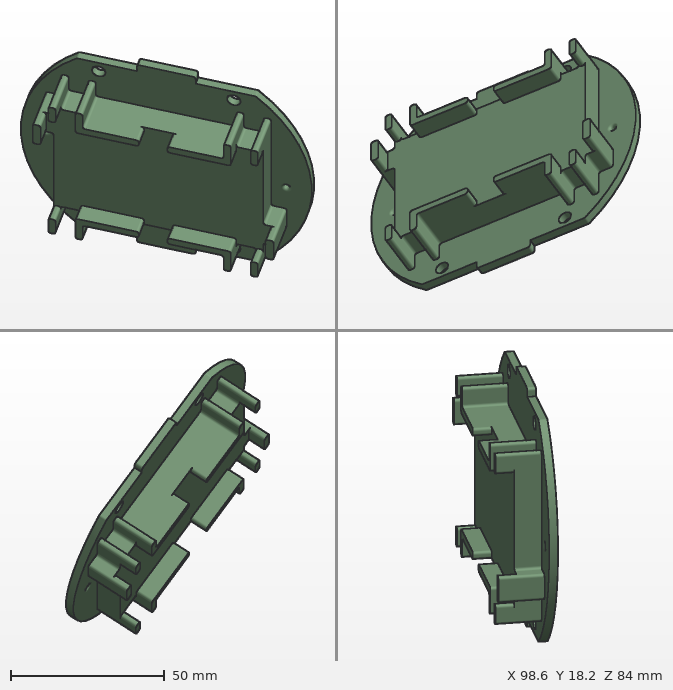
import cadquery as cq


disc_radius = 49.3
plate_thickness = 3.0
flat_height = 39.0
tab_span = 84.0
tab_half_width = 10.0
tab_height = tab_span / 2
corner_radius = 1.0

mount_hole_diameter = 4.5
mount_hole_x = 22.9
mount_hole_z = 34.9
screw_hole_diameter = 2.0
screw_mouth_radius = 1.0
screw_hole_x = 40.7
screw_hole_z = 1.2

block_half_width = 35.5
block_half_height = 23.0
block_depth = 9.0
total_depth = 18.2
wall_depth = total_depth - plate_thickness
clip_depth = wall_depth - block_depth

arm_thickness = 2.5
arm_end_z = 29.8
hook_outer_x = 26.3
hook_tip_x = 4.8
hook_thickness = 2.7

lug_outer_x = 40.85
lug_top_z = 20.0
lug_bottom_z = 11.1
lug_post_thickness = 2.8

hook_inner_x = hook_outer_x - arm_thickness
arm_inner_x = block_half_width - arm_thickness
hook_bottom_z = block_half_height - hook_thickness
lug_post_inner_x = lug_outer_x - lug_post_thickness

plate_front_y = -plate_thickness
block_front_y = plate_front_y - block_depth


def face_plane(y):
    """Sketch plane at depth y, with local axes X and Z, extruding towards -Y."""
    return cq.Workplane("XZ", origin=(0, y, 0))


def slab(y, depth, x_min, x_max, z_min, z_max):
    """Rectangular solid whose back lies at y."""
    center = ((x_min + x_max) / 2, (z_min + z_max) / 2)
    return face_plane(y).center(*center).rect(x_max - x_min, z_max - z_min).extrude(depth)


def round_corners(solid):
    return solid.edges("|Y").fillet(corner_radius)


def four_corners(solid):
    """The solid of the +X +Z corner, copied to all four corners."""
    right_pair = solid.union(solid.mirror("XY"))
    return right_pair.union(right_pair.mirror("YZ"))


def half_turn_pair(solid):
    """The solid together with its copy turned half a turn about the Y axis."""
    return solid.union(solid.rotate((0, 0, 0), (0, 1, 0), 180))


def make_plate():
    disc = face_plane(0).circle(disc_radius).extrude(plate_thickness)
    band = slab(0, plate_thickness, -disc_radius, disc_radius, -flat_height, flat_height)
    body = round_corners(disc.intersect(band))
    tabs = slab(0, plate_thickness, -tab_half_width, tab_half_width, -tab_height, tab_height)
    return body.union(round_corners(tabs))


def drill_screw_holes(plate):
    """Two small through holes with a rounded mouth on the front face."""
    screw_points = [(-screw_hole_x, screw_hole_z), (screw_hole_x, -screw_hole_z)]
    screw_holes = face_plane(0).pushPoints(screw_points).circle(screw_hole_diameter / 2)
    drilled = plate.cut(screw_holes.extrude(plate_thickness))
    mouths = drilled.faces("<Y").edges("%CIRCLE").filter(lambda edge: edge.IsClosed())
    return mouths.fillet(screw_mouth_radius)


def drill_mount_holes(plate):
    mount_points = [(sx * mount_hole_x, sz * mount_hole_z) for sx in (-1, 1) for sz in (-1, 1)]
    mount_holes = face_plane(0).pushPoints(mount_points).circle(mount_hole_diameter / 2)
    return plate.cut(mount_holes.extrude(plate_thickness))


def make_block():
    """Block with the lugs and the feet of the arms merged into one rounded outline."""
    y = plate_front_y
    block = slab(y, block_depth, -block_half_width, block_half_width, -block_half_height, block_half_height)
    outer_foot = slab(y, block_depth, arm_inner_x, block_half_width, 0, arm_end_z)
    hook_foot = slab(y, block_depth, hook_inner_x, hook_outer_x, 0, arm_end_z)
    lug = slab(y, block_depth, -lug_outer_x, 0, lug_bottom_z, lug_top_z)
    outline = block.union(four_corners(outer_foot.union(hook_foot))).union(half_turn_pair(lug))
    return round_corners(outline.clean())


def make_clips():
    """Outer arms, hooks and lug posts standing proud of the block."""
    y = block_front_y
    arm = slab(y, clip_depth, arm_inner_x, block_half_width, block_half_height, arm_end_z)
    hook_upright = slab(y, clip_depth, hook_inner_x, hook_outer_x, hook_bottom_z, arm_end_z)
    hook_finger = slab(y, clip_depth, hook_tip_x, hook_outer_x, hook_bottom_z, block_half_height)
    hook = hook_upright.union(hook_finger).clean()
    post = slab(y, clip_depth, -lug_outer_x, -lug_post_inner_x, lug_bottom_z, lug_top_z)
    corner_clips = round_corners(arm).union(round_corners(hook))
    return four_corners(corner_clips).union(half_turn_pair(round_corners(post)))


plate = drill_mount_holes(drill_screw_holes(make_plate()))
result = plate.union(make_block()).union(make_clips())